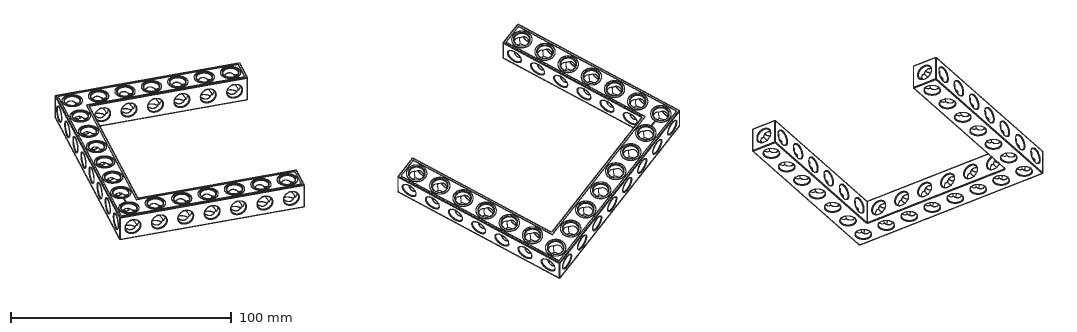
import cadquery as cq

pitch = 12.5
cells_along_x = 8
cells_along_y = 7
edge_chamfer = 0.3

hole_diameter = 7.0
hole_chamfer = 0.3

rim_width = 1.1
collar_diameter = 9.2
recess_depth = 0.2
rib_width = 0.3

width = cells_along_x * pitch
depth = cells_along_y * pitch
top = pitch / 2
inner_x = width / 2 - pitch
inner_y = -depth / 2 + pitch
hole_radius = hole_diameter / 2
columns = [(i - (cells_along_x - 1) / 2) * pitch for i in range(cells_along_x)]
rows = [(j - (cells_along_y - 1) / 2) * pitch for j in range(cells_along_y)]
arm_columns = (columns[0], columns[-1])
base_row = rows[0]
vertical_centres = [(x, base_row) for x in columns]
vertical_centres += [(x, y) for x in arm_columns for y in rows[1:]]


def u_prism(inset, bottom, height):
    """U-shaped prism open towards +Y, its outline moved inwards by inset."""
    outer_x = width / 2 - inset
    outer_y = depth / 2 - inset
    arm_x = inner_x + inset
    base_y = inner_y - inset
    outline = [
        (-outer_x, -outer_y),
        (outer_x, -outer_y),
        (outer_x, outer_y),
        (arm_x, outer_y),
        (arm_x, base_y),
        (-arm_x, base_y),
        (-arm_x, outer_y),
        (-outer_x, outer_y),
    ]
    return cq.Workplane("XY", origin=(0, 0, bottom)).polyline(outline).close().extrude(height)


def top_recess():
    """Recess volume: the inset outline without the collars around the vertical holes."""
    collars = (
        cq.Workplane("XY", origin=(0, 0, top - recess_depth))
        .pushPoints(vertical_centres)
        .circle(collar_diameter / 2)
        .extrude(recess_depth)
    )
    return u_prism(rim_width, top - recess_depth, recess_depth).cut(collars)


def marking_rib():
    """Thin rib on the recess floor, joining the last two collars of the base."""
    middle_x = (columns[-2] + columns[-1]) / 2
    return cq.Workplane("XY", origin=(middle_x, base_row, top - recess_depth)).box(
        pitch - collar_diameter, rib_width, recess_depth, centered=(True, True, False)
    )


def through_hole(start, direction, length):
    """Cutters for one hole of the given length, chamfered at both ends."""
    begin = cq.Vector(*start)
    axis = cq.Vector(*direction)
    end = begin + axis * length
    mouth_radius = hole_radius + hole_chamfer
    return [
        cq.Solid.makeCylinder(hole_radius, length, begin, axis),
        cq.Solid.makeCone(mouth_radius, hole_radius, hole_chamfer, begin, axis),
        cq.Solid.makeCone(mouth_radius, hole_radius, hole_chamfer, end, axis * -1),
    ]


def all_holes():
    cutters = []
    for x, y in vertical_centres:
        cutters += through_hole((x, y, -top), (0, 0, 1), pitch)
    for x in columns:
        length = depth if x in arm_columns else pitch
        cutters += through_hole((x, -depth / 2, 0), (0, 1, 0), length)
    cutters += through_hole((-width / 2, base_row, 0), (1, 0, 0), width)
    for y in rows[1:]:
        for arm_start in (-width / 2, inner_x):
            cutters += through_hole((arm_start, y, 0), (1, 0, 0), pitch)
    return cutters


frame = u_prism(0, -top, pitch).edges().chamfer(edge_chamfer)
frame = frame.cut(top_recess()).union(marking_rib())
drilled = frame.val().cut(*all_holes())
result = cq.Workplane("XY").newObject(drilled.Solids())